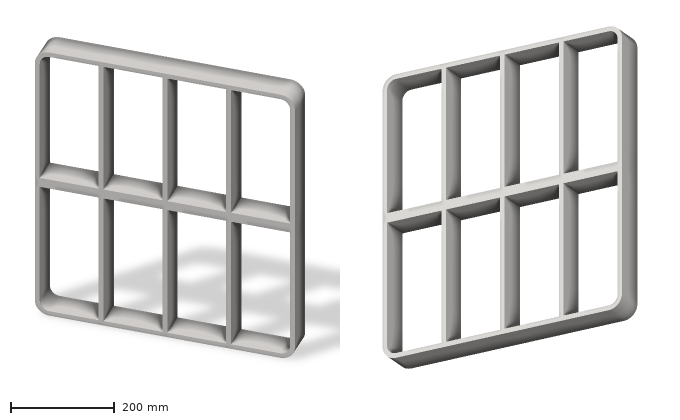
import cadquery as cq

width = 532.0
depth = 60.0
height = 596.0
wall = 10.0
divider = wall
crossbar = 2 * wall
outer_radius = 30.0
columns = 4

inner_radius = outer_radius - wall
inner_width = width - 2 * wall
inner_height = height - 2 * wall
column_pitch = (inner_width + divider) / columns


def rounded_block(block_width, block_height, radius):
    """Full-depth block with rounded corners in the XZ plane."""
    return cq.Workplane("XY").box(block_width, depth, block_height).edges("|Y").fillet(radius)


rim = rounded_block(width, height, outer_radius).cut(
    rounded_block(inner_width, inner_height, inner_radius)
)

result = rim.union(cq.Workplane("XY").box(width - wall, depth, crossbar))

for index in range(1, columns):
    x_position = (index - columns / 2) * column_pitch
    upright = cq.Workplane("XY").box(divider, depth, height - wall)
    result = result.union(upright.translate((x_position, 0, 0)))